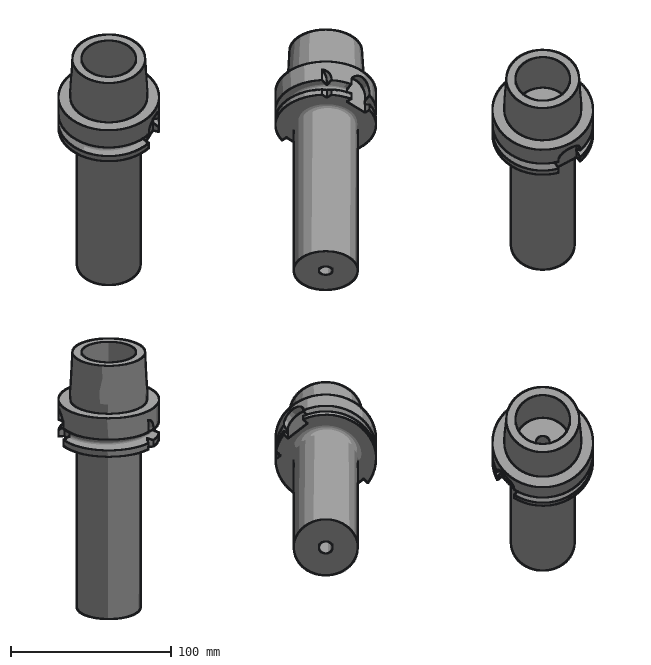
import cadquery as cq
import math

total_length = 172.0
flange_radius = 31.5
shank_diameter = 40.0
shank_radius = shank_diameter / 2
shank_fillet = 4.0

taper_length = 31.8
taper_top_diameter = 45.5
taper_top_radius = taper_top_diameter / 2
taper_base_radius = 24.0
base_band_height = 6.2

flange_height = 26.0
groove_floor_radius = 27.5
groove_width = 7.2
groove_depth = flange_radius - groove_floor_radius
groove_wall_angle = math.radians(30)
groove_vee_depth = groove_width / 2 / math.tan(groove_wall_angle)
groove_root_radius = (groove_vee_depth - groove_depth) / (1 / math.sin(groove_wall_angle) - 1)
groove_root_half_height = groove_root_radius * math.cos(groove_wall_angle)
groove_tangent_radius = groove_floor_radius + groove_root_radius * (1 - math.sin(groove_wall_angle))
groove_below_face = 14.5

socket_radius = 17.0
socket_depth = taper_length
through_radius = 4.3

slot_radius = 8.0
slot_floor_x = 26.5
slot_top_below_face = 5.0
notch_floor_x = 20.5
notch_inner_y = 19.8

face_z = total_length - taper_length
flange_bottom_z = face_z - flange_height
groove_top_z = face_z - groove_below_face
groove_bottom_z = groove_top_z - groove_width
groove_center_z = groove_top_z - groove_width / 2
slot_center_z = face_z - slot_top_below_face - slot_radius


def make_body():
    """Revolve the outer profile: shank, filleted shoulder, grooved flange and taper."""
    fillet_mid_offset = shank_fillet * (1 - math.sqrt(0.5))
    profile = (
        cq.Workplane("XZ")
        .lineTo(shank_radius, 0)
        .lineTo(shank_radius, flange_bottom_z - shank_fillet)
        .threePointArc(
            (shank_radius + fillet_mid_offset, flange_bottom_z - fillet_mid_offset),
            (shank_radius + shank_fillet, flange_bottom_z),
        )
        .lineTo(flange_radius, flange_bottom_z)
        .lineTo(flange_radius, groove_bottom_z)
        .lineTo(groove_tangent_radius, groove_center_z - groove_root_half_height)
        .threePointArc(
            (groove_floor_radius, groove_center_z),
            (groove_tangent_radius, groove_center_z + groove_root_half_height),
        )
        .lineTo(flange_radius, groove_top_z)
        .lineTo(flange_radius, face_z)
        .lineTo(taper_base_radius, face_z)
        .lineTo(taper_base_radius, face_z + base_band_height)
        .lineTo(taper_top_radius, total_length)
        .lineTo(0, total_length)
        .close()
    )
    return profile.revolve(360, (0, 0, 0), (0, 1, 0))


def slot_cutter(center_y, floor_x):
    """Round-topped cutter on the -X side, open outward and through the flange bottom."""
    return (
        cq.Workplane("YZ", origin=(-flange_radius, 0, 0))
        .moveTo(center_y - slot_radius, flange_bottom_z)
        .lineTo(center_y - slot_radius, slot_center_z)
        .threePointArc(
            (center_y, slot_center_z + slot_radius),
            (center_y + slot_radius, slot_center_z),
        )
        .lineTo(center_y + slot_radius, flange_bottom_z)
        .close()
        .extrude(flange_radius - floor_x)
    )


body = make_body()

socket = cq.Workplane("XY", origin=(0, 0, total_length - socket_depth)).circle(socket_radius)
body = body.cut(socket.extrude(socket_depth))
body = body.cut(cq.Workplane("XY").circle(through_radius).extrude(total_length))

drive_slot = slot_cutter(0, slot_floor_x)
for angle in (0, 180):
    body = body.cut(drive_slot.rotate((0, 0, 0), (0, 0, 1), angle))

body = body.cut(slot_cutter(notch_inner_y + slot_radius, notch_floor_x))

result = body